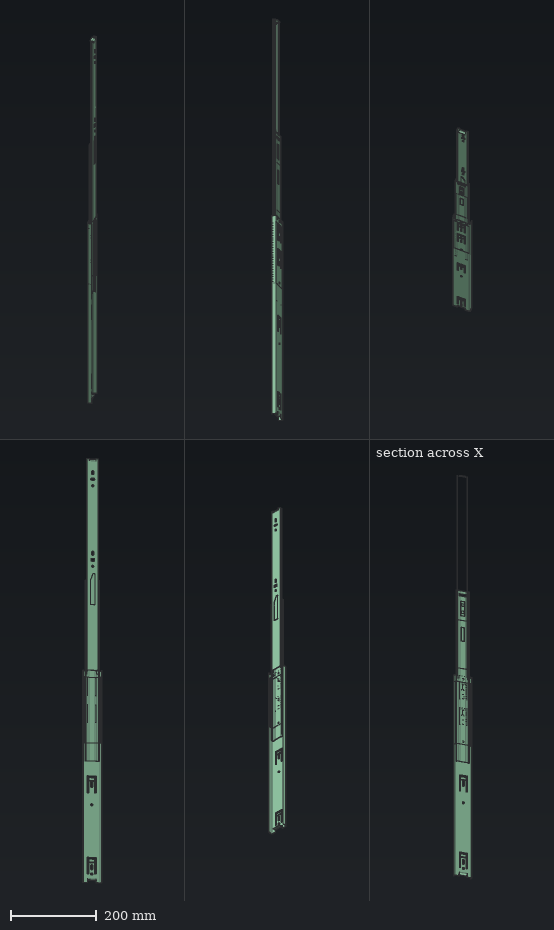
import cadquery as cq
import math


slide_thickness = 12.7
slide_width = 45.46
rail_length = 500.0
extended_length = 1000.0
sheet = 1.2
bend_outer = 1.6
bend_inner = bend_outer - sheet
race_depth = 0.4

outer_flange_end = 11.4
outer_half_width = slide_width / 2
flange_bulge = 0.43
outer_bend = 2.2

middle_overlap = 213.0
middle_bottom = rail_length - middle_overlap
middle_top = rail_length + middle_overlap
middle_back = 2.2
middle_flange_end = 9.3
middle_half_width = 16.8
middle_race = (4.8, 7.8)
valley_depth = 0.8
valley_floor_half = 7.5
valley_top_half = 11.5

inner_half_width = 13.7
inner_flange_end = 5.6
inner_race = (6.4, 9.2)
inner_web_face = slide_thickness - sheet

cage_sheet = 0.6
cage_rim = 9.0
outer_cage_back = 1.4
outer_cage_half_width = 19.5
outer_cage_bottom = 330.0
outer_cage_top = 485.0
inner_cage_back = 4.4
inner_cage_half_width = 14.6
inner_cage_bottom = 520.0
inner_cage_top = 640.0

lip_bend = 5.0
outer_lip_bottom = 4.2
outer_lip_reach = 9.0
outer_lip_half_width = 10.0
inner_lip_reach = 10.2
inner_lip_half_width = 8.0

screw_hole = 4.5
outer_hole_heights = (184.0, 337.0, 493.0)
end_notch_width = 4.5
end_notch_depth = 7.0
end_notch_y = 13.5

tongue_cut_half_width = 10.2
tongue_leg_width = 3.0
tongue_bar_height = 3.5
tongue_slot_width = 4.0
long_tongue_height = 42.0
long_tongue_tops = (484.0, 420.5)
slit_width = 3.0
slit_top_offset = 5.0
slit_length = 12.5
cross_cut_offset = 17.5
cross_cut_height = 1.5
long_slot_offset = 29.0
long_slot_length = 11.5
plain_tongue_top = 252.0
plain_tongue_height = 39.5
short_cross_offset = 10.5
plain_slot_offset = 12.0
plain_slot_length = 15.0
framed_tongue_top = 59.5
framed_tongue_height = 38.5
framed_slot_offset = 17.0
framed_slot_length = 12.0
framed_hole_height = 20.5

stop_half_width = 5.0
stop_bottom = 651.0
stop_height = 36.0
stop_pocket_width = 6.0
stop_pocket_height = 6.0
stop_pocket_depth = 0.6
stop_pocket_heights = (660.0, 678.0)
window_width = 8.0
window_bottom = 588.0
window_height = 34.0
cross_slot_width = 20.0
cross_slot_height = 5.0
cross_slot_bottom = 700.0

inner_hole_pitch = 15.5
inner_group_tops = (967.0, 776.5)
vertical_slot_length = 9.0
wide_slot_length = 9.0
square_hole_width = 8.0
square_hole_height = 6.0

lever_thickness = 1.6
lever_bottom = 655.0
lever_shoulder = 713.0
lever_top = 729.0
lever_half_width = 5.0
lever_tip_inner_y = 1.0
lever_fillet = 1.0


def mirrored_rail(half_profile, bottom, length):
    """Extrude the +Y half of a section lying in the XY plane and add its mirror image."""
    half = half_profile.close().extrude(length).translate((0, 0, bottom))
    return half.union(half.mirror("XZ"))


def arc_middle(radius, center_x, center_y, angle):
    """Point on a bend at the given angle in degrees."""
    turn = math.radians(angle)
    return (center_x + radius * math.cos(turn), center_y + radius * math.sin(turn))


def block(x_start, x_end, width, bottom, height, y_center=0.0):
    """Box centered on y_center, spanning x_start to x_end and rising from bottom."""
    size_x = x_end - x_start
    box = cq.Workplane("XY").box(size_x, width, height, centered=(False, True, False))
    return box.translate((x_start, y_center, bottom))


def slot_cutter(length, width, z_center, angle):
    """Round-ended cutter through the full thickness; angle 90 makes it vertical."""
    plane = cq.Workplane("YZ", origin=(0, 0, z_center))
    return plane.slot2D(length, width, angle).extrude(slide_thickness)


def hole_cutter(diameter, z_center):
    plane = cq.Workplane("YZ", origin=(0, 0, z_center))
    return plane.circle(diameter / 2).extrude(slide_thickness)


def bent_lip(half_width, reach):
    """Sheet lip with its web at x = 0 and its flat arm along +X at z = 0."""
    inside = lip_bend - sheet
    profile = (
        cq.Workplane("XZ")
        .moveTo(0, lip_bend)
        .threePointArc(arc_middle(lip_bend, lip_bend, lip_bend, 225), (lip_bend, 0))
        .lineTo(reach, 0)
        .lineTo(reach, sheet)
        .lineTo(lip_bend, sheet)
        .threePointArc(arc_middle(inside, lip_bend, lip_bend, 225), (sheet, lip_bend))
        .close()
    )
    return profile.extrude(half_width, both=True)


def tongue_cutter(top, height):
    """U-shaped cut: a bar across the top and a leg down each side of the tongue."""
    bar = block(0, sheet, 2 * tongue_cut_half_width, top - tongue_bar_height, tongue_bar_height)
    leg_y = tongue_cut_half_width - tongue_leg_width / 2
    for side in (-1, 1):
        bar = bar.union(block(0, sheet, tongue_leg_width, top - height, height, side * leg_y))
    return bar


def tongue_slot(top, offset, length):
    """Vertical screw slot inside a tongue, its upper end at offset below the tongue cut's top."""
    return slot_cutter(length, tongue_slot_width, top - offset - length / 2, 90)


def cross_cut(top, offset, half_width):
    """Thin horizontal cut across a tongue."""
    return block(0, sheet, 2 * half_width, top - offset - cross_cut_height, cross_cut_height)


def make_outer_rail():
    bend_y = outer_half_width - flange_bulge
    inner_radius = outer_bend - sheet
    middle_x = (outer_bend + outer_flange_end) / 2
    center_y = bend_y - outer_bend
    profile = (
        cq.Workplane("XY")
        .lineTo(0, center_y)
        .threePointArc(arc_middle(outer_bend, outer_bend, center_y, 135), (outer_bend, bend_y))
        .threePointArc((middle_x, outer_half_width), (outer_flange_end, bend_y))
        .lineTo(outer_flange_end, bend_y - sheet)
        .threePointArc((middle_x, outer_half_width - sheet), (outer_bend, bend_y - sheet))
        .threePointArc(arc_middle(inner_radius, outer_bend, center_y, 135), (sheet, center_y))
        .lineTo(sheet, 0)
    )
    rail = mirrored_rail(profile, 0, rail_length)

    rail = rail.cut(block(0, sheet, 2 * outer_lip_half_width, 0, outer_lip_bottom + lip_bend))
    lip = bent_lip(outer_lip_half_width, outer_lip_reach)
    rail = rail.union(lip.translate((0, 0, outer_lip_bottom)))

    for side in (-1, 1):
        notch_bottom = rail_length - end_notch_depth
        rail = rail.cut(block(0, sheet, end_notch_width, notch_bottom, end_notch_depth, side * end_notch_y))
    for height in outer_hole_heights:
        rail = rail.cut(hole_cutter(screw_hole, height))

    root_half_width = tongue_cut_half_width - tongue_leg_width
    bridge_half_width = root_half_width - tongue_leg_width
    for top in long_tongue_tops:
        rail = rail.cut(tongue_cutter(top, long_tongue_height))
        rail = rail.cut(slot_cutter(slit_length, slit_width, top - slit_top_offset - slit_length / 2, 90))
        rail = rail.cut(cross_cut(top, cross_cut_offset, bridge_half_width))
        rail = rail.cut(tongue_slot(top, long_slot_offset, long_slot_length))

    rail = rail.cut(tongue_cutter(plain_tongue_top, plain_tongue_height))
    rail = rail.cut(cross_cut(plain_tongue_top, short_cross_offset, bridge_half_width))
    rail = rail.cut(tongue_slot(plain_tongue_top, plain_slot_offset, plain_slot_length))

    rail = rail.cut(tongue_cutter(framed_tongue_top, framed_tongue_height))
    rail = rail.cut(cross_cut(framed_tongue_top, short_cross_offset, bridge_half_width))
    rail = rail.cut(tongue_slot(framed_tongue_top, framed_slot_offset, framed_slot_length))
    return rail.cut(hole_cutter(screw_hole, framed_hole_height))


def make_middle_rail():
    floor = middle_back + valley_depth
    web_front = middle_back + sheet
    bend_x = middle_back + bend_outer
    bend_y = middle_half_width - bend_outer
    inside_y = middle_half_width - sheet
    race_start, race_end = middle_race
    race_x = (race_start + race_end) / 2
    profile = (
        cq.Workplane("XY")
        .moveTo(floor, 0)
        .lineTo(floor, valley_floor_half)
        .lineTo(middle_back, valley_top_half)
        .lineTo(middle_back, bend_y)
        .threePointArc(arc_middle(bend_outer, bend_x, bend_y, 135), (bend_x, middle_half_width))
        .lineTo(race_start, middle_half_width)
        .threePointArc((race_x, middle_half_width - race_depth), (race_end, middle_half_width))
        .lineTo(middle_flange_end, middle_half_width)
        .lineTo(middle_flange_end, inside_y)
        .lineTo(race_end, inside_y)
        .threePointArc((race_x, inside_y - race_depth), (race_start, inside_y))
        .lineTo(bend_x, inside_y)
        .threePointArc(arc_middle(bend_inner, bend_x, bend_y, 135), (web_front, bend_y))
        .lineTo(web_front, valley_top_half)
        .lineTo(floor + sheet, valley_floor_half)
        .lineTo(floor + sheet, 0)
    )
    rail = mirrored_rail(profile, middle_bottom, middle_top - middle_bottom)
    web_end = floor + sheet
    rail = rail.cut(block(middle_back, web_end, 2 * stop_half_width, stop_bottom, stop_height))
    rail = rail.cut(block(middle_back, web_end, window_width, window_bottom, window_height))
    return rail.cut(block(middle_back, web_end, cross_slot_width, cross_slot_bottom, cross_slot_height))


def make_inner_rail():
    bend_x = slide_thickness - bend_outer
    bend_y = inner_half_width - bend_outer
    inside_y = inner_half_width - sheet
    race_start, race_end = inner_race
    race_x = (race_start + race_end) / 2
    profile = (
        cq.Workplane("XY")
        .moveTo(slide_thickness, 0)
        .lineTo(slide_thickness, bend_y)
        .threePointArc(arc_middle(bend_outer, bend_x, bend_y, 45), (bend_x, inner_half_width))
        .lineTo(race_end, inner_half_width)
        .threePointArc((race_x, inner_half_width - race_depth), (race_start, inner_half_width))
        .lineTo(inner_flange_end, inner_half_width)
        .lineTo(inner_flange_end, inside_y)
        .lineTo(race_start, inside_y)
        .threePointArc((race_x, inside_y - race_depth), (race_end, inside_y))
        .lineTo(bend_x, inside_y)
        .threePointArc(arc_middle(bend_inner, bend_x, bend_y, 45), (inner_web_face, bend_y))
        .lineTo(inner_web_face, 0)
    )
    rail = mirrored_rail(profile, extended_length - rail_length, rail_length)

    bend_start = extended_length - lip_bend
    rail = rail.cut(block(inner_web_face, slide_thickness, 2 * inner_lip_half_width, bend_start, lip_bend))
    lip = bent_lip(inner_lip_half_width, inner_lip_reach).rotate((0, 0, 0), (0, 1, 0), 180)
    rail = rail.union(lip.translate((slide_thickness, 0, extended_length)))

    for top in inner_group_tops:
        rail = rail.cut(slot_cutter(vertical_slot_length, screw_hole, top, 90))
        rail = rail.cut(hole_cutter(screw_hole, top - 2 * inner_hole_pitch))
    upper_top, lower_top = inner_group_tops
    rail = rail.cut(slot_cutter(wide_slot_length, screw_hole, upper_top - inner_hole_pitch, 0))
    square_bottom = lower_top - inner_hole_pitch - square_hole_height / 2
    square = block(inner_web_face, slide_thickness, square_hole_width, square_bottom, square_hole_height)
    return rail.cut(square)


def make_cage(back, half_width, bottom, top):
    """Thin channel that carries the balls between two rails."""
    shell = block(back, cage_rim, 2 * half_width, bottom, top - bottom)
    hollow = block(back + cage_sheet, cage_rim, 2 * (half_width - cage_sheet), bottom, top - bottom)
    return shell.cut(hollow)


def make_stop_block():
    """Plug filling the middle rail's web opening, with two shallow pockets."""
    face = middle_back + valley_depth
    plug = block(face, face + sheet, 2 * stop_half_width, stop_bottom, stop_height)
    for center in stop_pocket_heights:
        pocket_bottom = center - stop_pocket_height / 2
        pocket_floor = face + stop_pocket_depth
        plug = plug.cut(block(face, pocket_floor, stop_pocket_width, pocket_bottom, stop_pocket_height))
    return plug


def make_release_lever():
    """Flat lever on the inner web, with a narrow finger on its +Y side."""
    outline = (
        cq.Workplane("YZ", origin=(inner_web_face - lever_thickness, 0, 0))
        .moveTo(-lever_half_width, lever_bottom)
        .lineTo(lever_half_width, lever_bottom)
        .lineTo(lever_half_width, lever_top)
        .lineTo(lever_tip_inner_y, lever_top)
        .lineTo(-lever_half_width, lever_shoulder)
        .close()
    )
    return outline.extrude(lever_thickness).edges("|X").fillet(lever_fillet)


outer_rail = make_outer_rail()
middle_rail = make_middle_rail()
inner_rail = make_inner_rail()
outer_cage = make_cage(outer_cage_back, outer_cage_half_width, outer_cage_bottom, outer_cage_top)
inner_cage = make_cage(inner_cage_back, inner_cage_half_width, inner_cage_bottom, inner_cage_top)
stop_block = make_stop_block()
release_lever = make_release_lever()

result = cq.Compound.makeCompound([
    outer_rail.val(),
    middle_rail.val(),
    inner_rail.val(),
    outer_cage.val(),
    inner_cage.val(),
    stop_block.val(),
    release_lever.val(),
])